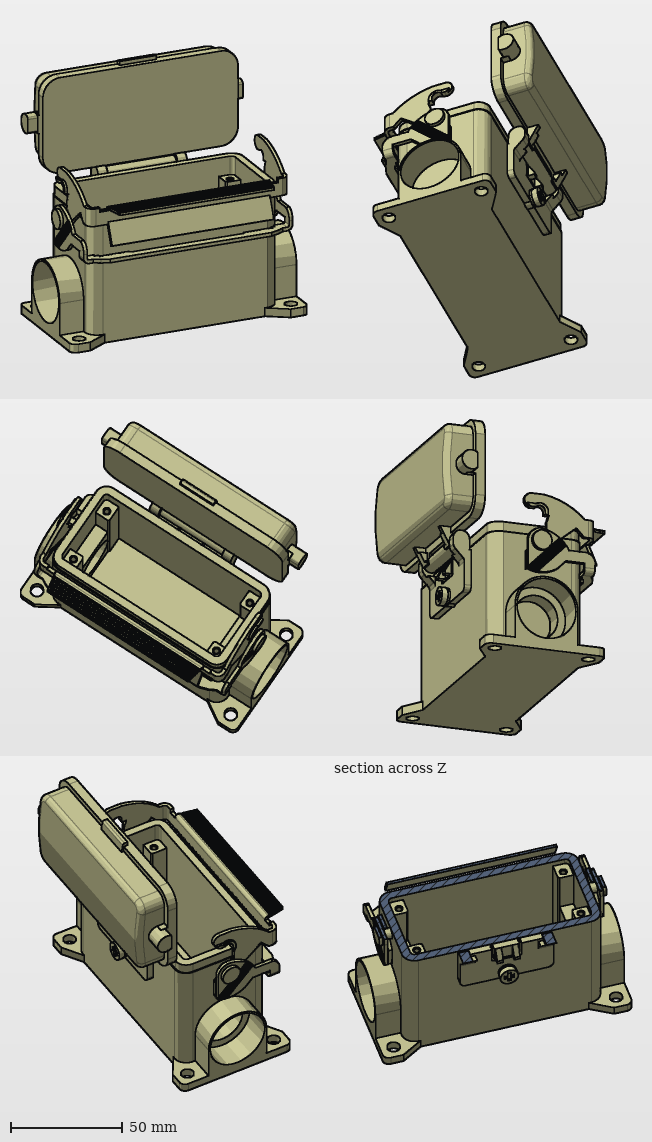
import cadquery as cq
import math

OVERLAP = 1.2

HOUSING_X, HOUSING_Y, HOUSING_TOP = 44.7, 93.4, 62.7
HOUSING_CORNER = 6.1
RIM_Z, RIM_INSET = 58.0, 0.41
FLOOR, WALL = 4.1, 4.2
CAVITY_X = HOUSING_X - 2 * WALL
CAVITY_Y = HOUSING_Y - 2 * WALL
CAVITY_CORNER = HOUSING_CORNER - WALL
POST_X, POST_Y, POST_TOP = 8.0, 7.3, 53.8
POST_HOLE_X, POST_HOLE_Y = 13.5, 38.6
POST_HOLE_DIA, POST_HOLE_DEPTH, POST_HOLE_CHAMFER = 2.5, 14.0, 0.5
POST_CHAMFER = 0.7
LEDGE_TOP = 35.1
LEDGE_FRONT_Y, LEDGE_BACK_Y = 35.9, 35.2

ENTRY_Y, ENTRY_Z, ENTRY_R = 58.5, 19.5, 15.1
BORE_R, BORE_DEPTH, PASSAGE_R = 14.2, 13.5, 10.4

FOOT_X, FOOT_CORNER = 28.5, 2.9
FOOT_THICK = FLOOR
FOOT_STRAIGHT_Y, FOOT_INNER_Y = 49.5, 39.5
FOOT_HOLE_X, FOOT_HOLE_Y, FOOT_HOLE_DIA = 22.5, 52.3, 5.8

FLANGE_X0, FLANGE_X1 = -30.2, -25.5
FLANGE_Z0, FLANGE_Z1 = 65.0, 110.9
FLANGE_Y, FLANGE_CORNER = 96.4, 8.4
LID_CROWN_X, LID_Y, LID_HEIGHT = -44.0, 90.1, 40.2
LID_CORNER, LID_EDGE, CROWN_R = 5.5, 2.8, 117.0
LID_Z = (FLANGE_Z0 + FLANGE_Z1) / 2
LID_PIN_X, LID_PIN_R, LID_PIN_FLAT_X, LID_PIN_Y = -33.8, 4.6, -31.0, 53.1
LID_PIN_ROUND = 1.0
PAD_X = -33.9
TAB_WIDTH = 18.0
LID_TOP = 112.8

HINGE_X, HINGE_Z, BARREL_R, HINGE_PIN_R = -27.0, 60.6, 3.4, 1.8
BRACKET_X, BRACKET_Y, BRACKET_BOTTOM, BRACKET_TOP = -25.6, 44.0, 36.9, 56.4
BRACKET_CORNER, KNUCKLE_R, KNUCKLE_Z = 2.7, 4.0, 61.2
RAMP_Z, RAMP_TOP = 50.2, 55.0
KNUCKLE_Y, RAMP_Y = 17.2, 14.9
BARREL_Y = 17.0
WINDOW_Y, WINDOW_Z, WINDOW_GAP = 14.0, 48.8, 1.0
WINDOW_CORNER, WINDOW_DEPTH = 0.9, 2.8
FINGER_X, FINGER_Z, FINGER_WIDTH, FINGER_Y = -28.7, 49.8, 2.8, 4.0
SCREW_Z, SCREW_R, SCREW_X = 40.5, 4.2, -29.6
SCREW_NECK, SCREW_NECK_R = 1.0, 4.0
CROSS_LENGTH, CROSS_WIDTH, CROSS_DEPTH = 4.7, 1.5, 0.9

SHEET = 1.8
INNER_Y, OUTER_Y = 47.9, 49.8
LIP_Y = 50.8
PIVOT_Z, PIVOT_R, PIVOT_HEAD_R = 53.8, 2.6, 4.6
PIVOT_HEAD_Y, PIVOT_END_Y = 51.8, 53.5
RIB_X, RIB_Z, RIB_PITCH, RIB_COUNT = 3.4, 47.5, 0.8, 6
GROOVE_WIDTH, GROOVE_DEPTH = 0.4, 0.4
HANDLE_X, HANDLE_Z0, HANDLE_Z1, HANDLE_BEND = 26.9, 58.7, 67.2, 3.5
HANDLE_END_X, GRIP_THICK = 35.6, 1.4
GRIP_Y, GRIP_END_Y = 39.9, 38.0
GRIP_GROOVE_X, GRIP_GROOVE_PITCH, GRIP_GROOVE_COUNT = 28.1, 1.6, 5
NOTCH_WIDTH, NOTCH_DEPTH = 4.1, 1.9
BAR_Z, BAR_BEND = 41.0, 2.8
BAR_X, BAR_EDGE_X, BAR_END_X = 21.1, 26.0, 29.0
BAR_CLEAR_X, BAR_CLEAR_Y = 22.5, 44.5
BAR_LIP_X, BAR_LIP_Z, BAR_LIP_Y = 23.6, 39.5, 42.7
BAR_SLOT_X, BAR_SLOT_Y, BAR_SLOT_R = 24.8, 57.1, 1.8


def box(x0, x1, y0, y1, z0, z1):
    return cq.Workplane("XY").box(x1 - x0, y1 - y0, z1 - z0, centered=False).translate((x0, y0, z0))


def rounded_block(size_x, size_y, z0, z1, corner):
    block = cq.Workplane("XY").workplane(offset=z0).rect(size_x, size_y).extrude(z1 - z0)
    return block.edges("|Z").fillet(corner)


def side_profile(y0):
    """Sketch plane with local axes X and Z, at distance y0 on the -Y side; it extrudes toward -Y."""
    return cq.Workplane("XZ", origin=(0, -y0, 0))


def both_ends(shape):
    return shape.union(shape.mirror("XZ"))


def make_feet():
    wall = HOUSING_X / 2
    foot = (
        cq.Workplane("XY")
        .moveTo(-FOOT_X, -ENTRY_Y)
        .lineTo(FOOT_X, -ENTRY_Y)
        .lineTo(FOOT_X, -FOOT_STRAIGHT_Y)
        .lineTo(wall, -FOOT_INNER_Y)
        .lineTo(-wall, -FOOT_INNER_Y)
        .lineTo(-FOOT_X, -FOOT_STRAIGHT_Y)
        .close()
        .extrude(FOOT_THICK)
        .edges("|Z and <Y")
        .fillet(FOOT_CORNER)
    )
    holes = (
        cq.Workplane("XY")
        .pushPoints([(-FOOT_HOLE_X, -FOOT_HOLE_Y), (FOOT_HOLE_X, -FOOT_HOLE_Y)])
        .circle(FOOT_HOLE_DIA / 2)
        .extrude(FOOT_THICK)
    )
    return both_ends(foot.cut(holes))


def make_cavity():
    cavity = rounded_block(CAVITY_X, CAVITY_Y, FLOOR, HOUSING_TOP, CAVITY_CORNER)
    half_x, half_y = CAVITY_X / 2, CAVITY_Y / 2
    cavity = cavity.cut(box(-half_x, half_x, -half_y, -LEDGE_FRONT_Y, FLOOR, LEDGE_TOP))
    cavity = cavity.cut(box(-half_x, half_x, LEDGE_BACK_Y, half_y, FLOOR, LEDGE_TOP))
    for sx in (-1, 1):
        for sy in (-1, 1):
            post = (
                cq.Workplane("XY")
                .box(POST_X, POST_Y, POST_TOP - FLOOR, centered=(True, True, False))
                .edges("|Z")
                .edges(cq.selectors.NearestToPointSelector((-sx * POST_X / 2, -sy * POST_Y / 2, 0)))
                .chamfer(POST_CHAMFER)
                .translate((sx * (half_x - POST_X / 2), sy * (half_y - POST_Y / 2), FLOOR))
            )
            cavity = cavity.cut(post)
            hole = (
                cq.Workplane("XZ")
                .moveTo(0, POST_TOP)
                .lineTo(POST_HOLE_DIA / 2 + POST_HOLE_CHAMFER, POST_TOP)
                .lineTo(POST_HOLE_DIA / 2, POST_TOP - POST_HOLE_CHAMFER)
                .lineTo(POST_HOLE_DIA / 2, POST_TOP - POST_HOLE_DEPTH)
                .lineTo(0, POST_TOP - POST_HOLE_DEPTH)
                .close()
                .revolve(360, (0, 0, 0), (0, 1, 0))
            )
            cavity = cavity.union(hole.translate((sx * POST_HOLE_X, sy * POST_HOLE_Y, 0)))
    return cavity


def make_housing():
    housing = rounded_block(HOUSING_X, HOUSING_Y, 0, RIM_Z, HOUSING_CORNER)
    rim = rounded_block(
        HOUSING_X - 2 * RIM_INSET, HOUSING_Y - 2 * RIM_INSET, RIM_Z, HOUSING_TOP, HOUSING_CORNER - RIM_INSET
    )
    entry_root = HOUSING_Y / 2 - HOUSING_CORNER
    entry_length = ENTRY_Y - entry_root
    entry = side_profile(entry_root).center(0, ENTRY_Z).circle(ENTRY_R).extrude(entry_length)
    entry = entry.union(box(-ENTRY_R, ENTRY_R, -ENTRY_Y, -entry_root, 0, ENTRY_Z))
    bore = side_profile(ENTRY_Y - BORE_DEPTH).center(0, ENTRY_Z).circle(BORE_R).extrude(BORE_DEPTH)
    passage_length = ENTRY_Y - LEDGE_FRONT_Y
    passage = side_profile(LEDGE_FRONT_Y).center(0, ENTRY_Z).circle(PASSAGE_R).extrude(passage_length)
    housing = housing.union(rim).union(both_ends(entry)).union(make_feet())
    return housing.cut(make_cavity()).cut(both_ends(bore)).cut(passage)


def make_lid():
    flange = (
        cq.Workplane("YZ", origin=(FLANGE_X0, 0, LID_Z))
        .rect(FLANGE_Y, FLANGE_Z1 - FLANGE_Z0)
        .extrude(FLANGE_X1 - FLANGE_X0)
        .edges("|X")
        .fillet(FLANGE_CORNER)
    )
    cover = (
        cq.Workplane("YZ", origin=(LID_CROWN_X, 0, LID_Z))
        .rect(LID_Y, LID_HEIGHT)
        .extrude(FLANGE_X0 - LID_CROWN_X)
        .edges("|X")
        .fillet(LID_CORNER)
    )
    crown = (
        cq.Workplane("XZ", origin=(LID_CROWN_X + CROWN_R, LID_Y / 2, LID_Z))
        .circle(CROWN_R)
        .extrude(LID_Y)
    )
    cover = cover.intersect(crown).faces("<X").edges().fillet(LID_EDGE)

    pin_root = LID_Y / 2 - OVERLAP
    pin = side_profile(pin_root).center(LID_PIN_X, LID_Z).circle(LID_PIN_R).extrude(LID_PIN_Y - pin_root)
    pin = pin.cut(box(LID_PIN_FLAT_X, 0, -LID_PIN_Y, 0, FLANGE_Z0, FLANGE_Z1))
    pin = pin.edges("|Y").fillet(LID_PIN_ROUND)
    pad = box(PAD_X, FLANGE_X0, -FLANGE_Y / 2, -pin_root, LID_Z - LID_PIN_R, LID_Z + LID_PIN_R)

    cover_top = LID_Z + LID_HEIGHT / 2
    tab = (
        cq.Workplane("XZ", origin=(0, TAB_WIDTH / 2, 0))
        .moveTo(-31.4, cover_top)
        .lineTo(-30.8, 112.0)
        .threePointArc((-30.4, 112.5), (-29.8, LID_TOP))
        .lineTo(-28.2, LID_TOP)
        .lineTo(-28.2, FLANGE_Z1)
        .lineTo(-29.2, cover_top)
        .close()
        .extrude(TAB_WIDTH)
    )
    return flange.union(cover).union(both_ends(pin.union(pad))).union(tab)


def make_lid_hinge():
    barrel = side_profile(-BARREL_Y).center(HINGE_X, HINGE_Z).circle(BARREL_R).extrude(2 * BARREL_Y)
    pin_half = BRACKET_Y / 2
    pin = side_profile(-pin_half).center(HINGE_X, HINGE_Z).circle(HINGE_PIN_R).extrude(2 * pin_half)
    arm_inner, step_y, web_y, web_z = 10.9, 13.0, 14.9, 64.0
    arm = (
        side_profile(arm_inner)
        .polyline([(-35.6, 68.1), (FLANGE_X0, 68.1), (HINGE_X, FLANGE_Z0), (HINGE_X, 59.1), (-30.8, 59.1)])
        .close()
        .extrude(BARREL_Y - arm_inner)
    )
    arm = arm.cut(box(LID_CROWN_X, FLANGE_X0, -web_y, -arm_inner, FLANGE_Z0, LID_Z))
    arm = arm.cut(box(LID_CROWN_X, FLANGE_X0, -step_y, -arm_inner, HINGE_Z, LID_Z))
    web = box(FLANGE_X0, HINGE_X, -arm_inner, arm_inner, web_z, FLANGE_Z0)
    return barrel.union(pin).union(both_ends(arm)).union(web)


def make_bracket():
    wall = -HOUSING_X / 2
    half = BRACKET_Y / 2
    plate = box(BRACKET_X, wall, -half, half, BRACKET_BOTTOM, BRACKET_TOP)
    plate = plate.edges("|X and <Z").fillet(BRACKET_CORNER)

    knuckle_left, knuckle_right = HINGE_X - KNUCKLE_R, HINGE_X + KNUCKLE_R
    knuckle = (
        side_profile(RAMP_Y)
        .moveTo(wall, RAMP_Z)
        .lineTo(BRACKET_X, RAMP_Z)
        .threePointArc((-25.9, 51.5), (-26.5, 52.3))
        .lineTo(-30.1, 56.2)
        .threePointArc((-30.7, 57.1), (knuckle_left, 58.1))
        .lineTo(knuckle_left, KNUCKLE_Z)
        .threePointArc((HINGE_X, KNUCKLE_Z + KNUCKLE_R), (knuckle_right, KNUCKLE_Z))
        .lineTo(knuckle_right, BRACKET_TOP)
        .lineTo(wall, BRACKET_TOP)
        .close()
        .extrude(half - RAMP_Y)
    )
    knuckle = knuckle.cut(box(LID_CROWN_X, wall, -KNUCKLE_Y, -RAMP_Y, RAMP_TOP, LID_Z))

    half_window = WINDOW_Y / 2
    window = box(BRACKET_X, BRACKET_X + WINDOW_DEPTH, -half_window, half_window, WINDOW_Z, BRACKET_TOP)
    window = window.edges("|X and <Z").fillet(WINDOW_CORNER)
    half_tongue = half_window - WINDOW_GAP
    tongue = box(BRACKET_X, wall, -half_tongue, half_tongue, WINDOW_Z + WINDOW_GAP, BRACKET_TOP)
    finger = (
        side_profile(FINGER_Y - FINGER_WIDTH / 2)
        .polyline([(BRACKET_X, FINGER_Z), (FINGER_X, FINGER_Z), (FINGER_X, 51.2), (BRACKET_X, BRACKET_TOP)])
        .close()
        .extrude(FINGER_WIDTH)
    )
    plate = plate.cut(window).union(tongue)
    return plate.union(both_ends(knuckle)).union(both_ends(finger))


def make_screw():
    def disc(x0, x1, radius):
        return cq.Workplane("YZ", origin=(x0, 0, SCREW_Z)).circle(radius).extrude(x1 - x0)

    neck_x = BRACKET_X - SCREW_NECK
    screw = disc(SCREW_X, neck_x, SCREW_R).union(disc(neck_x, BRACKET_X, SCREW_NECK_R))
    screw = screw.union(disc(BRACKET_X, -HOUSING_X / 2, SCREW_R))
    recess = cq.Workplane("YZ", origin=(SCREW_X, 0, SCREW_Z))
    screw = screw.cut(recess.rect(CROSS_LENGTH, CROSS_WIDTH).extrude(CROSS_DEPTH))
    return screw.cut(recess.rect(CROSS_WIDTH, CROSS_LENGTH).extrude(CROSS_DEPTH))


def make_hook_plate():
    """Inner lever sheet: hook at the left, handle root at the right, neck down to the pivot."""
    plate = (
        side_profile(INNER_Y)
        .moveTo(-3.7, 70.0)
        .threePointArc((-7.1, 73.4), (-3.7, 76.8))
        .lineTo(2.2, 76.8)
        .threePointArc((13.1, 73.4), (21.8, HANDLE_Z1))
        .lineTo(HANDLE_X - HANDLE_BEND, HANDLE_Z1)
        .lineTo(HANDLE_X - HANDLE_BEND, HANDLE_Z0)
        .lineTo(21.4, HANDLE_Z0)
        .lineTo(17.7, 62.6)
        .lineTo(9.4, 55.9)
        .lineTo(-6.1, 40.7)
        .lineTo(-6.1, 49.4)
        .lineTo(3.5, 58.7)
        .lineTo(3.5, 63.8)
        .lineTo(4.6, 66.9)
        .lineTo(2.2, 66.9)
        .lineTo(2.2, 68.9)
        .threePointArc((0.7, 70.7), (-2.1, 70.1))
        .close()
        .extrude(SHEET)
    )
    lip = (
        side_profile(INNER_Y)
        .moveTo(-3.7, 70.0)
        .threePointArc((-5.0, 70.2), (-6.1, 71.6))
        .lineTo(-2.1, 71.6)
        .threePointArc((1.9, 71.6), (3.9, 68.2))
        .lineTo(3.9, 66.9)
        .lineTo(2.2, 66.9)
        .lineTo(2.2, 68.9)
        .threePointArc((0.7, 70.7), (-2.1, 70.1))
        .close()
        .extrude(LIP_Y - INNER_Y)
    )
    return plate.union(lip)


def make_handle():
    outer_half = INNER_Y + SHEET
    yoke = rounded_block(2 * HANDLE_X, 2 * outer_half, HANDLE_Z0, HANDLE_Z1, HANDLE_BEND)
    yoke = yoke.cut(
        rounded_block(2 * (HANDLE_X - SHEET), 2 * INNER_Y, HANDLE_Z0, HANDLE_Z1, HANDLE_BEND - SHEET)
    )
    root_x = HANDLE_X - HANDLE_BEND
    yoke = yoke.intersect(box(root_x, HANDLE_X, -outer_half, outer_half, HANDLE_Z0, HANDLE_Z1))
    notch = box(root_x, HANDLE_X, -GRIP_Y - NOTCH_WIDTH, -GRIP_Y, HANDLE_Z1 - NOTCH_DEPTH, HANDLE_Z1)
    yoke = yoke.cut(both_ends(notch))
    arc_inset = SHEET * (1 - math.sqrt(0.5))
    bend = (
        cq.Workplane("XZ", origin=(HANDLE_X - SHEET, GRIP_Y, HANDLE_Z1))
        .moveTo(0, 0)
        .lineTo(SHEET, 0)
        .threePointArc((arc_inset, -arc_inset), (0, -SHEET))
        .close()
        .extrude(2 * GRIP_Y)
    )
    yoke = yoke.cut(bend)

    grip = (
        cq.Workplane("XY", origin=(0, 0, HANDLE_Z1 - GRIP_THICK))
        .polyline([
            (HANDLE_X - SHEET / 2, -GRIP_Y),
            (HANDLE_END_X, -GRIP_END_Y),
            (HANDLE_END_X, GRIP_END_Y),
            (HANDLE_X - SHEET / 2, GRIP_Y),
        ])
        .close()
        .extrude(GRIP_THICK)
    )
    grip = grip.intersect(box(HANDLE_X, HANDLE_END_X, -GRIP_Y, GRIP_Y, 0, HANDLE_Z1))
    for i in range(GRIP_GROOVE_COUNT):
        x = GRIP_GROOVE_X + i * GRIP_GROOVE_PITCH
        grip = grip.cut(
            box(x, x + 2 * GROOVE_WIDTH, -GRIP_Y, GRIP_Y, HANDLE_Z1 - GROOVE_DEPTH, HANDLE_Z1)
        )
    apron_top = HANDLE_Z0 + OVERLAP
    apron = (
        side_profile(-GRIP_Y)
        .polyline([(HANDLE_X - SHEET, apron_top), (HANDLE_X, apron_top), (31.2, 49.7), (29.8, 49.3)])
        .close()
        .extrude(2 * GRIP_Y)
    )
    return yoke.union(grip).union(apron)


def make_outer_lever():
    lever = (
        side_profile(OUTER_Y)
        .moveTo(-6.1, PIVOT_Z)
        .threePointArc((-4.3, 58.1), (0.0, 59.9))
        .threePointArc((9.4, 55.9), (13.5, 50.9))
        .lineTo(22.3, 50.9)
        .threePointArc((25.0, 49.0), (BAR_EDGE_X, 45.7))
        .lineTo(BAR_EDGE_X, BAR_Z + BAR_BEND)
        .lineTo(BAR_X, BAR_Z + BAR_BEND)
        .lineTo(BAR_X, 45.7)
        .lineTo(12.0, 45.7)
        .lineTo(8.2, 41.9)
        .threePointArc((1.2, 39.3), (-6.1, 40.5))
        .close()
        .extrude(SHEET)
    )
    outer_face = OUTER_Y + SHEET
    groove_length = 46.8
    for i in range(RIB_COUNT):
        offset = (i - (RIB_COUNT - 1) / 2) * RIB_PITCH
        groove = (
            cq.Workplane("XY")
            .box(groove_length, 2 * GROOVE_DEPTH, GROOVE_WIDTH)
            .translate((0, 0, offset))
            .rotate((0, 0, 0), (0, 1, 0), -45)
            .translate((RIB_X, -outer_face, RIB_Z))
        )
        lever = lever.cut(groove)
    return lever


def make_lower_bar():
    """Bent cross bar joining the two outer levers, slotted next to the housing."""
    bar_top = BAR_Z + SHEET
    bend_top = BAR_Z + BAR_BEND
    blank_top = bend_top + OVERLAP
    outer_half = OUTER_Y + SHEET

    def bent_block(half_width, bottom, corner):
        block = box(BAR_X, BAR_EDGE_X, -half_width, half_width, bottom, blank_top)
        return block.edges("|X and <Z").fillet(corner)

    bar = bent_block(outer_half, BAR_Z, BAR_BEND).cut(bent_block(OUTER_Y, bar_top, BAR_BEND - SHEET))
    bar = bar.cut(box(BAR_X, BAR_EDGE_X, -outer_half, outer_half, bend_top, blank_top))
    bar = bar.cut(box(BAR_X, BAR_CLEAR_X, -BAR_CLEAR_Y, BAR_CLEAR_Y, BAR_Z, bar_top))
    bar = bar.cut(box(BAR_X, BAR_LIP_X, -BAR_LIP_Y, BAR_LIP_Y, BAR_Z, bar_top))
    half_slot = BAR_SLOT_Y / 2
    slot = box(0, BAR_SLOT_X, -half_slot, half_slot, BAR_Z, bar_top)
    slot = slot.edges("|Z and >X").fillet(BAR_SLOT_R)
    lip = box(BAR_CLEAR_X, BAR_LIP_X, -BAR_LIP_Y, -half_slot, BAR_LIP_Z, BAR_Z + SHEET / 2)
    edge = (
        cq.Workplane("XY", origin=(0, 0, BAR_Z))
        .moveTo(BAR_EDGE_X, -46.8)
        .lineTo(27.6, -43.9)
        .lineTo(BAR_END_X, -39.8)
        .lineTo(BAR_END_X, 39.8)
        .lineTo(27.6, 43.9)
        .lineTo(BAR_EDGE_X, 46.8)
        .close()
        .extrude(SHEET)
    )
    return bar.cut(slot).union(edge).union(both_ends(lip))


def make_pivot():
    root = HOUSING_Y / 2 - OVERLAP
    shaft = side_profile(root).center(0, PIVOT_Z).circle(PIVOT_R).extrude(PIVOT_END_Y - root)
    head = side_profile(PIVOT_HEAD_Y).center(0, PIVOT_Z).circle(PIVOT_HEAD_R)
    return shaft.union(head.extrude(PIVOT_END_Y - PIVOT_HEAD_Y))


lever_ends = both_ends(make_hook_plate().union(make_outer_lever()).union(make_pivot()))
result = (
    make_housing()
    .union(make_bracket())
    .union(make_screw())
    .union(make_lid())
    .union(make_lid_hinge())
    .union(lever_ends)
    .union(make_handle())
    .union(make_lower_bar())
)